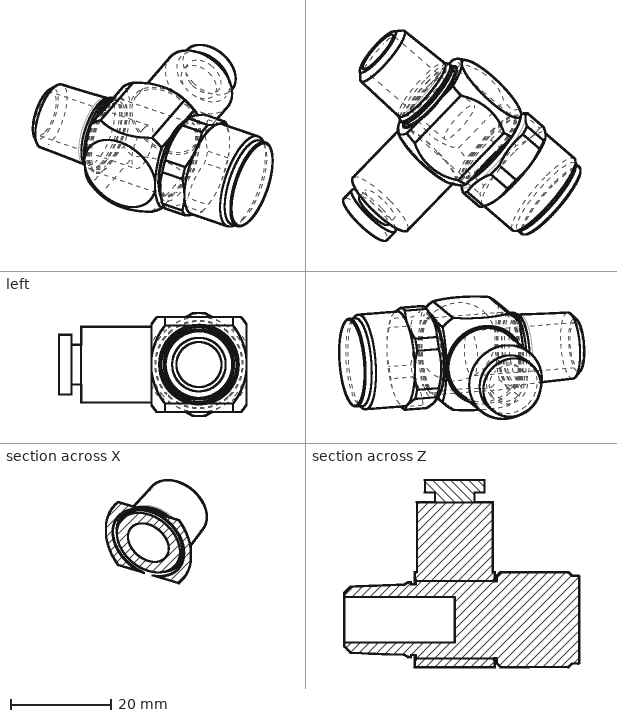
import cadquery as cq
import math


block_length = 16.0
block_width = 19.0
block_corner_radius = 11.15
block_face_radius = 8.05
shoulder_height = 2.7
shoulder_middle_radius = 9.5
shoulder_middle_drop = 1.07
hole_relief_radius = 7.95
hole_relief_depth = 0.2
port_radius = 7.6
port_end = 23.5

stem_radius = 4.0
cap_radius = 6.0
cap_start = 25.4
button_end = 27.94

screw_start = -22.06
thread_tip_radius = 5.35
thread_front_radius = 6.65
thread_back_radius = 7.02
thread_chamfer_end = -20.76
thread_end = -10.72
collar_cone_start = -10.12
collar_start = -9.29
collar_end = -8.7
collar_radius = 7.5
front_journal_radius = 7.1
rear_journal_radius = 7.7
bore_radius = 4.5
bore_end = 0.0

hex_across_flats = block_width
hex_corner_radius = 10.32
hex_chamfer_angle = 30.0
hex_face_start = 9.14
hex_face_end = 14.64
head_radius = hex_across_flats / 2
under_head_chamfer = 0.78
head_chamfer_start = 22.74
lip_radius = 8.82
lip_chamfer = 0.2
screw_end = 24.88

half_block_width = block_width / 2
hex_chamfer_length = (hex_corner_radius - head_radius) * math.tan(math.radians(hex_chamfer_angle))
shank_step = hole_relief_depth - block_length / 2
under_head = hex_face_start - under_head_chamfer
head_chamfer_end = head_chamfer_start + head_radius - lip_radius


def turned_about_x(profile):
    """Revolve (x, radius) points, closed along the axis, about the X axis."""
    points = [(profile[0][0], 0), *profile, (profile[-1][0], 0)]
    return cq.Workplane("XY").polyline(points).close().revolve(360, (0, 0), (1, 0))


def turned_about_y(profile):
    """Revolve (radius, y) points, closed along the axis, about the Y axis."""
    points = [(0, profile[0][1]), *profile, (0, profile[-1][1])]
    return cq.Workplane("XY").polyline(points).close().revolve(360, (0, 0), (0, 1))


def make_block_envelope():
    """Round solid about Y: flat round faces, bulged shoulders and a cylindrical middle."""
    shoulder_base = half_block_width - shoulder_height
    shoulder_middle = half_block_width - shoulder_middle_drop
    return (
        cq.Workplane("XY")
        .moveTo(0, -half_block_width)
        .lineTo(block_face_radius, -half_block_width)
        .threePointArc((shoulder_middle_radius, -shoulder_middle), (block_corner_radius, -shoulder_base))
        .lineTo(block_corner_radius, shoulder_base)
        .threePointArc((shoulder_middle_radius, shoulder_middle), (block_face_radius, half_block_width))
        .lineTo(0, half_block_width)
        .close()
        .revolve(360, (0, 0), (0, 1))
    )


def make_block():
    """Rounded block with its side port and a counterbored hole for the screw shank."""
    half_length = block_length / 2
    relief_floor = half_length - hole_relief_depth
    block = (
        cq.Workplane("XY")
        .box(block_length, block_width, block_width)
        .intersect(make_block_envelope())
    )
    port = turned_about_y([(port_radius, 0), (port_radius, port_end)])
    shank_hole = turned_about_x([
        (-half_length, hole_relief_radius),
        (-relief_floor, hole_relief_radius),
        (-relief_floor, rear_journal_radius),
        (relief_floor, rear_journal_radius),
        (relief_floor, hole_relief_radius),
        (half_length, hole_relief_radius),
    ])
    return block.union(port).cut(shank_hole)


def make_button():
    """Release button: a short stem with a wider round cap."""
    return turned_about_y([
        (stem_radius, port_end),
        (stem_radius, cap_start),
        (cap_radius, cap_start),
        (cap_radius, button_end),
    ])


def make_hexagon():
    """Hexagon with flats on +/-Y, turned down and chamfered at both ends."""
    across_corners = hex_across_flats / math.cos(math.pi / 6)
    prism = (
        cq.Workplane("YZ", origin=(hex_face_start, 0, 0))
        .transformed(rotate=(0, 0, 90))
        .polygon(6, across_corners)
        .extrude(hex_face_end - hex_face_start)
    )
    envelope = turned_about_x([
        (hex_face_start, head_radius),
        (hex_face_start + hex_chamfer_length, hex_corner_radius),
        (hex_face_end - hex_chamfer_length, hex_corner_radius),
        (hex_face_end, head_radius),
    ])
    return prism.intersect(envelope)


def make_screw():
    """Banjo screw: taper thread, collar, stepped shank, hexagon and round head."""
    turned = turned_about_x([
        (screw_start, thread_tip_radius),
        (thread_chamfer_end, thread_front_radius),
        (thread_end, thread_back_radius),
        (collar_cone_start, thread_back_radius),
        (collar_start, collar_radius),
        (collar_end, collar_radius),
        (collar_end, front_journal_radius),
        (shank_step, front_journal_radius),
        (shank_step, rear_journal_radius),
        (under_head, rear_journal_radius),
        (under_head, head_radius - under_head_chamfer),
        (hex_face_start, head_radius),
        (head_chamfer_start, head_radius),
        (head_chamfer_end, lip_radius),
        (screw_end - lip_chamfer, lip_radius),
        (screw_end, lip_radius - lip_chamfer),
    ])
    bore = turned_about_x([(screw_start, bore_radius), (bore_end, bore_radius)])
    return turned.union(make_hexagon()).cut(bore)


block = make_block()
button = make_button()
screw = make_screw()

result = cq.Compound.makeCompound([block.val(), button.val(), screw.val()])